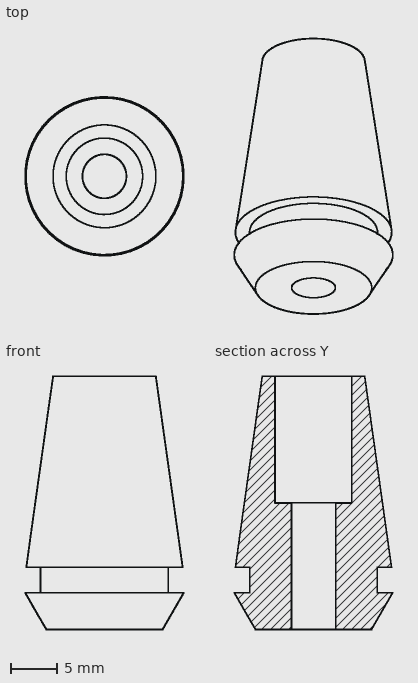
import cadquery as cq
import math

total_height = 27.5
taper_base_diameter = 17.0
taper_half_angle = 8.0
taper_base_height = 6.75
groove_diameter = 13.9
flange_diameter = 17.25
flange_height = 4.0
flange_half_angle = 30.0
through_hole_diameter = 4.75
counterbore_diameter = 8.3
counterbore_floor_height = 13.75


def cone_end_radius(base_diameter, length, half_angle):
    """Radius at the small end of a cone of the given length."""
    return base_diameter / 2 - length * math.tan(math.radians(half_angle))


top_radius = cone_end_radius(taper_base_diameter, total_height - taper_base_height, taper_half_angle)
nose_radius = cone_end_radius(flange_diameter, flange_height, flange_half_angle)


def make_body():
    """Revolve the flange, groove and long taper around Z."""
    groove_radius = groove_diameter / 2
    half_section = (
        cq.Workplane("XZ")
        .lineTo(nose_radius, 0)
        .lineTo(flange_diameter / 2, flange_height)
        .lineTo(groove_radius, flange_height)
        .lineTo(groove_radius, taper_base_height)
        .lineTo(taper_base_diameter / 2, taper_base_height)
        .lineTo(top_radius, total_height)
        .lineTo(0, total_height)
        .close()
    )
    return half_section.revolve(360, (0, 0, 0), (0, 1, 0))


def make_bore_cutter(diameter, floor_height):
    """Cylinder from the given floor up to the top face."""
    return (
        cq.Workplane("XY")
        .workplane(offset=floor_height)
        .circle(diameter / 2)
        .extrude(total_height - floor_height)
    )


body = make_body()
through_hole = make_bore_cutter(through_hole_diameter, 0)
counterbore = make_bore_cutter(counterbore_diameter, counterbore_floor_height)
result = body.cut(through_hole).cut(counterbore)